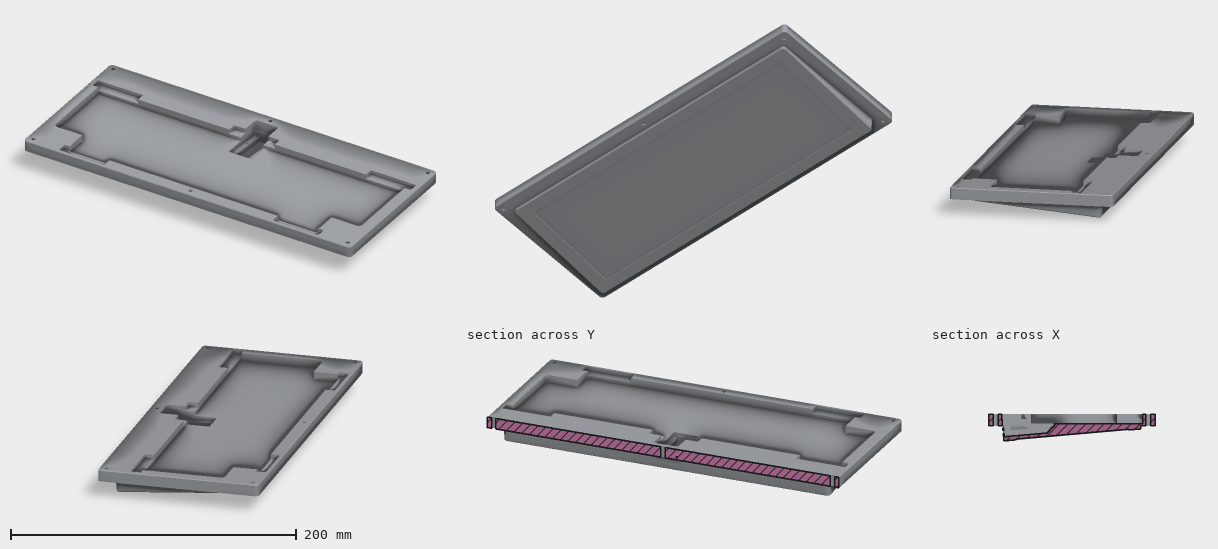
import cadquery as cq
import math

PLATE_LENGTH = 268.5
PLATE_WIDTH = 117.0
PLATE_THICKNESS = 8.3
TOTAL_HEIGHT = 18.8
CORNER_RADIUS = 2.82
TOP_CHAMFER = 0.5

POCKET_DEPTH = 6.5
POCKET_LENGTH = 251.7
POCKET_FRONT_LENGTH = 205.0
POCKET_REAR_Y = 28.7
POCKET_STEP_Y = -31.5
POCKET_FRONT_Y = -49.5

RELIEF_LENGTH = 37.3
RELIEF_WIDTH = 7.5
RELIEF_DEPTH = 3.5
RELIEF_RADIUS = 1.0
REAR_RELIEF_Y = 31.7
REAR_RELIEF_X = 112.3
FRONT_RELIEF_Y = -52.5
FRONT_RELIEF_X = 87.8

SCREW_DIAMETER = 3.0
SCREW_INSET = 5.0

TILT_DEGREES = 5
TILT = math.radians(TILT_DEGREES)
WEDGE_LENGTH = 249.0
WEDGE_WIDTH = 96.7
WEDGE_REAR_Y = 47.8
WEDGE_CHAMFER = 0.5
PAD_LENGTH = 227.8
PAD_INSET = 8.9
PAD_DEPTH = 0.5

SLOT_WIDTH = 18.8
SLOT_FRONT_GAP = 36.3
SLOT_FLOOR = 7.3
SLOT_RADIUS = 2.1
SLOT_FLOOR_FILLET = 0.8
SLOT_REAR_GAP = 0.8
SLOT_MOUTH_REAR_GAP = 0.3
SLOT_MOUTH_DEPTH = 7.8
CHANNEL_WIDTH = 10.5
CHANNEL_FLOOR = 3.2
CHANNEL_FRONT_GAP = 35
RAMP_FILLET = 1.0
BOARD_HOLE_DIAMETER = 1.5
BOARD_HOLE_DEPTH = 2.7
BOARD_HOLE_X = 6.7
BOARD_HOLE_GAPS = (2.1, 14.8, 34.0)

SLOPE_NORMAL = cq.Vector(0, math.sin(TILT), math.cos(TILT))
REAR_EDGE = cq.Vector(0, WEDGE_REAR_Y, -TOTAL_HEIGHT - WEDGE_CHAMFER * math.sin(TILT))


def sloped_plane(height):
    """Workplane parallel to the sloped underside, raised from it by height."""
    underside = cq.Plane(origin=REAR_EDGE, xDir=(1, 0, 0), normal=SLOPE_NORMAL)
    return cq.Workplane(underside).workplane(offset=height)


def sloped_block(length, rear_gap, front_gap, bottom, height):
    """Block standing square to the sloped underside, between two gaps from the rear edge."""
    centre_y = -(rear_gap + front_gap) / 2
    return sloped_plane(bottom).center(0, centre_y).rect(length, front_gap - rear_gap).extrude(height)


def half_space(bottom):
    """Oversized block holding everything above the level bottom."""
    outline = cq.Workplane(origin=(0, 0, bottom)).rect(2 * PLATE_LENGTH, 2 * PLATE_WIDTH)
    return outline.extrude(2 * TOTAL_HEIGHT)


def top_plate():
    plate = cq.Workplane().rect(PLATE_LENGTH, PLATE_WIDTH).extrude(-PLATE_THICKNESS)
    return plate.edges("|Z").fillet(CORNER_RADIUS).faces(">Z").edges().chamfer(TOP_CHAMFER)


def wedge_foot():
    upright = cq.selectors.ParallelDirSelector(SLOPE_NORMAL)
    lowest = cq.selectors.DirectionMinMaxSelector(SLOPE_NORMAL, False)
    wedge = sloped_block(WEDGE_LENGTH, 0, WEDGE_WIDTH, 0, TOTAL_HEIGHT)
    wedge = wedge.edges(upright).fillet(CORNER_RADIUS).faces(lowest).edges().chamfer(WEDGE_CHAMFER)
    pad = sloped_block(PAD_LENGTH, PAD_INSET, WEDGE_WIDTH - PAD_INSET, 0, PAD_DEPTH)
    return wedge.cut(pad).cut(half_space(-PLATE_THICKNESS))


def pocket_area(length, front_y):
    """Rectangle of the main pocket with rounded front corners."""
    centre_y = (POCKET_REAR_Y + front_y) / 2
    outline = cq.Workplane(origin=(0, centre_y, 0)).rect(length, POCKET_REAR_Y - front_y)
    return outline.extrude(-POCKET_DEPTH).edges("|Z").edges("<Y").fillet(CORNER_RADIUS)


def main_pocket():
    rear_part = pocket_area(POCKET_LENGTH, POCKET_STEP_Y)
    return rear_part.union(pocket_area(POCKET_FRONT_LENGTH, POCKET_FRONT_Y))


def tab_reliefs():
    centres = [(x, REAR_RELIEF_Y) for x in (-REAR_RELIEF_X, 0, REAR_RELIEF_X)]
    centres += [(x, FRONT_RELIEF_Y) for x in (-FRONT_RELIEF_X, FRONT_RELIEF_X)]
    reliefs = cq.Workplane().pushPoints(centres).rect(RELIEF_LENGTH, RELIEF_WIDTH).extrude(-RELIEF_DEPTH)
    return reliefs.edges("|Z").fillet(RELIEF_RADIUS)


def screw_holes():
    columns = 3
    rows = 2
    spacing_x = (PLATE_LENGTH - 2 * SCREW_INSET) / (columns - 1)
    spacing_y = PLATE_WIDTH - 2 * SCREW_INSET
    holes = cq.Workplane().rarray(spacing_x, spacing_y, columns, rows).circle(SCREW_DIAMETER / 2)
    return holes.extrude(-PLATE_THICKNESS)


def board_recess(rear_gap):
    """Slot body with rounded rear corners, open upward through the plate."""
    upright = cq.selectors.ParallelDirSelector(SLOPE_NORMAL)
    recess = sloped_block(SLOT_WIDTH, rear_gap, SLOT_FRONT_GAP, SLOT_FLOOR, TOTAL_HEIGHT)
    recess = recess.faces(">Y").edges(upright).fillet(SLOT_RADIUS)
    return recess.faces("<Y").edges("|X").edges("<Z").fillet(SLOT_FLOOR_FILLET)


def cable_channel():
    """Groove in the slot floor whose front end ramps up at 45 degrees to the floor."""
    depth = SLOT_FLOOR - CHANNEL_FLOOR
    rear = -SLOT_REAR_GAP
    front = -CHANNEL_FRONT_GAP
    floor_origin = REAR_EDGE + SLOPE_NORMAL * CHANNEL_FLOOR
    side = cq.Plane(origin=floor_origin, xDir=(0, math.cos(TILT), -math.sin(TILT)), normal=(1, 0, 0))
    points = [(rear, 0), (rear, depth), (front, depth), (front + depth, 0)]
    profile = cq.Workplane(side).polyline(points).close()
    channel = profile.extrude(CHANNEL_WIDTH / 2, both=True)
    return channel.faces("<Y").edges("|X").edges("<Z").fillet(RAMP_FILLET)


def board_holes():
    centres = [(x, -gap) for x in (-BOARD_HOLE_X, BOARD_HOLE_X) for gap in BOARD_HOLE_GAPS]
    holes = sloped_plane(SLOT_FLOOR).pushPoints(centres).circle(BOARD_HOLE_DIAMETER / 2)
    return holes.extrude(-BOARD_HOLE_DEPTH)


def board_slot():
    """Slot with a slightly longer mouth through the plate, leaving a narrow ledge at its rear."""
    mouth = board_recess(SLOT_MOUTH_REAR_GAP).intersect(half_space(-SLOT_MOUTH_DEPTH))
    return board_recess(SLOT_REAR_GAP).union(mouth).union(cable_channel()).union(board_holes())


result = top_plate().union(wedge_foot())
for cutter in (main_pocket(), tab_reliefs(), screw_holes(), board_slot()):
    result = result.cut(cutter)